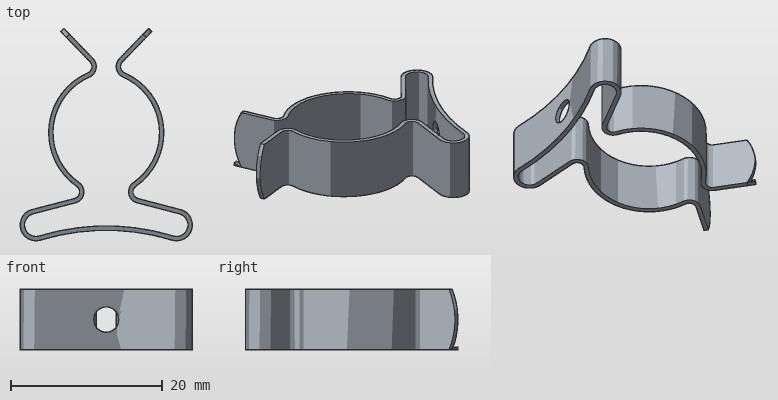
import cadquery as cq
import math

thickness = 0.6
height = 8.0
half_thickness = thickness / 2
overall_length = 28.0

ring_radius = 8.3
mouth_radius = 1.2
neck_radius = 1.2
lobe_radius = 1.8
base_radius = 29.85

mouth_x = 2.8
neck_x = 4.43
lobe_x = 9.25
lobe_y = -12.15

ring_x = -1.0

flare_angle = math.radians(46)
hole_diameter = 3.3
tip_radius = 8.0
sliver_height = 0.38


def direction(angle):
    return cq.Vector(math.cos(angle), math.sin(angle))


def heading(start, end):
    return math.atan2(end.y - start.y, end.x - start.x)


ring = cq.Vector(ring_x, 0)
mouth = cq.Vector(mouth_x, math.sqrt((ring_radius + mouth_radius) ** 2 - (mouth_x - ring_x) ** 2))
neck = cq.Vector(neck_x, -math.sqrt((ring_radius + neck_radius) ** 2 - (neck_x - ring_x) ** 2))
lobe = cq.Vector(lobe_x, lobe_y)
base = cq.Vector(0, lobe_y - math.sqrt((base_radius + lobe_radius) ** 2 - lobe_x**2))

arm_slant = math.acos((lobe_radius + neck_radius) / (neck - lobe).Length)
arm_angle = heading(lobe, neck) - arm_slant

flare = direction(flare_angle)
flare_normal_angle = flare_angle + math.pi / 2
flare_normal = direction(flare_normal_angle)
flare_start = mouth + flare_normal * mouth_radius
tip_y = lobe_y - lobe_radius - half_thickness + overall_length
flare_length = (tip_y - flare_start.y - half_thickness * flare_normal.y) / flare.y
tip = flare_start + flare * flare_length

tip_setback = tip_radius - math.sqrt(tip_radius**2 - (height / 2) ** 2)

COUNTERCLOCKWISE = 1
CLOCKWISE = -1
INNER = 1
OUTER = -1

half_arcs = [
    (base, base_radius, math.pi / 2, heading(base, lobe), CLOCKWISE),
    (lobe, lobe_radius, heading(lobe, base), arm_angle, COUNTERCLOCKWISE),
    (neck, neck_radius, arm_angle + math.pi, heading(neck, ring), CLOCKWISE),
    (ring, ring_radius, heading(ring, neck), heading(ring, mouth), COUNTERCLOCKWISE),
    (mouth, mouth_radius, heading(mouth, ring), flare_normal_angle, CLOCKWISE),
]


def strip_face(side):
    """Start, middle and end of every arc along one face of the half strip."""
    arcs = []
    for center, radius, start, end, turn in half_arcs:
        face_radius = radius - turn * side * half_thickness
        sweep = turn * ((turn * (end - start)) % (2 * math.pi))
        arcs.append([center + direction(start + sweep * part) * face_radius for part in (0, 0.5, 1)])
    return arcs


def make_half_strip():
    inner = strip_face(INNER)
    outer = [arc[::-1] for arc in reversed(strip_face(OUTER))]
    inner_tip = tip + flare_normal * half_thickness
    outer_tip = tip - flare_normal * half_thickness

    arcs = inner + outer
    edges = [cq.Edge.makeThreePointArc(*arc) for arc in arcs]
    corners = [inner[-1][2], inner_tip, outer_tip, outer[0][0]]
    edges += [cq.Edge.makeLine(a, b) for a, b in zip(corners, corners[1:])]
    edges.append(cq.Edge.makeLine(outer[-1][2], inner[0][0]))

    edges.append(cq.Edge.makeLine(inner[1][2], inner[2][0]))
    edges.append(cq.Edge.makeLine(outer[2][2], outer[3][0]))

    outline = cq.Wire.assembleEdges(edges)
    return cq.Workplane(cq.Solid.extrudeLinear(outline, [], cq.Vector(0, 0, height)))


flare_plane = cq.Plane(origin=tip, xDir=flare, normal=-flare_normal)


def make_tip_rounding():
    """Material outside the rounded end of the flared arm."""
    return (
        cq.Workplane(flare_plane)
        .moveTo(-tip_setback, 0)
        .threePointArc((0, height / 2), (-tip_setback, height))
        .lineTo(thickness, height)
        .lineTo(thickness, 0)
        .close()
        .extrude(thickness, both=True)
    )


def make_clip():
    half_strip = make_half_strip().cut(make_tip_rounding())
    strip = half_strip.union(half_strip.mirror("YZ"))
    hole = (
        cq.Workplane("XZ", origin=(0, base.y + base_radius, height / 2))
        .circle(hole_diameter / 2)
        .extrude(2 * thickness, both=True)
    )
    return strip.cut(hole)


def make_sliver():
    """Small wedge at the bottom of the +X tip, which meets the rounded end at its lowest corner."""
    return (
        cq.Workplane(flare_plane)
        .polyline([(-tip_setback, 0), (0, 0), (0, sliver_height)])
        .close()
        .extrude(half_thickness, both=True)
    )


clip = make_clip()
sliver = make_sliver()
result = cq.Compound.makeCompound([clip.val(), sliver.val()])